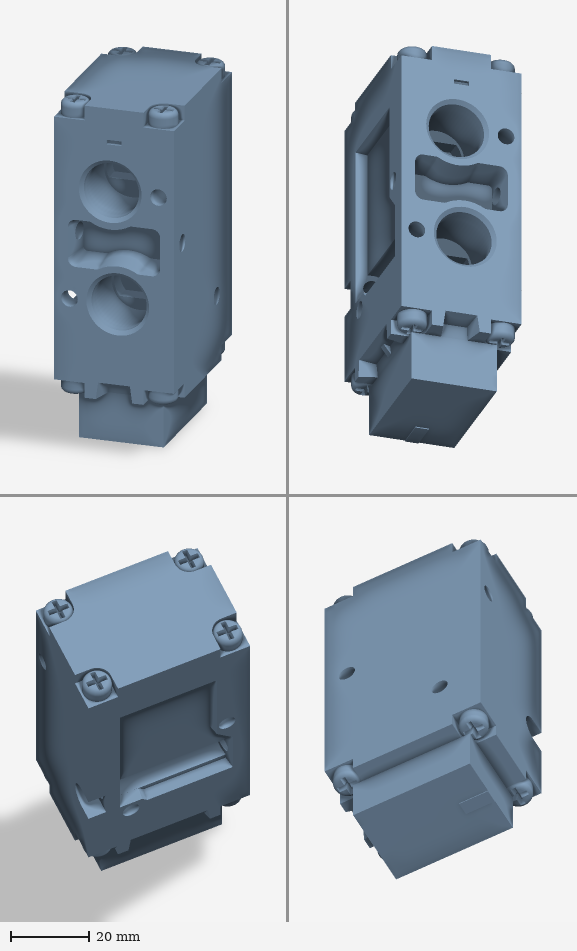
import cadquery as cq
import math

WIDTH = 32.5
LENGTH = 45.5
TOTAL_HEIGHT = 93.4
TOP_CAP_HEIGHT = 9.8
BODY_HEIGHT = 56.3
BOTTOM_CAP_HEIGHT = 13.7

FRONT_Y = -LENGTH / 2
BACK_Y = LENGTH / 2
LEFT_X = -WIDTH / 2
BODY_TOP = TOTAL_HEIGHT - TOP_CAP_HEIGHT
BODY_BOTTOM = BODY_TOP - BODY_HEIGHT
BODY_MIDDLE = (BODY_TOP + BODY_BOTTOM) / 2
CAP_BOTTOM = BODY_BOTTOM - BOTTOM_CAP_HEIGHT

HEAD_RADIUS = 3.8
HEAD_HEIGHT = 4.0
HEAD_ROUNDING = 1.5
HEAD_INSET = 4.4
HEAD_CLEARANCE = 0.1
CROSS_LENGTH = 5.6
CROSS_WIDTH = 1.4
CROSS_DEPTH = 1.9
CROSS_DRAFT = 15
SEAT_RADIUS = HEAD_RADIUS + HEAD_CLEARANCE
SEAT_SIZE = HEAD_INSET + SEAT_RADIUS

PORT_SPACING = 30.5
LOWER_PORT_Z = BODY_MIDDLE - PORT_SPACING / 2
PORT_OFFSET_X = 1.0
PORT_RADIUS = 7.5
PORT_DEPTH = 16.8
PORT_MOUTH_RADIUS = 8.5
PORT_CHAMFER = PORT_MOUTH_RADIUS - PORT_RADIUS
WINDOW_RADIUS = 6.8
WINDOW_DEPTH = 4.7
WINDOW_TOWARD_END = 4.3
WINDOW_TOWARD_MIDDLE = 2.8
MOUNT_HOLE_X = 12.05
MOUNT_HOLE_RADIUS = 2.2
SIDE_HOLE_RADIUS = 2.3
SIDE_HOLES_YZ = [(-16.25, 56.5), (10.7, 32.4)]

WAIST_POCKET_WIDTH = 25.0
WAIST_POCKET_HEIGHT = 12.9
WAIST_POCKET_DEPTH = 9.0
WAIST_POCKET_CORNER = 2.2
WAIST_POCKET_DRAFT = 8
WAIST_RADIUS = 10.4
WAIST_BLEND_RADIUS = 1.3

SIDE_POCKET_DEPTH = 3.0
SIDE_POCKET_DRAFT = 12
SIDE_POCKET_BACK = 13.9
SIDE_POCKET_FRONT = -13.4
SIDE_POCKET_FAR_FRONT = -17.8
SIDE_POCKET_TOP = 79.0
SIDE_POCKET_BOTTOM = 34.3
SHOULDER = 4.5
SHOULDER_Z = 53.1
STEP = 1.5
STEP_Y = 6.2
GROOVE_RADIUS = 3.7
GROOVE_BACK = 13.5
GROOVE_FRONT = -17.65
GROOVE_END_DRAFT = 8
COUNTERBORE_RADIUS = 4.0
COUNTERBORE_DEPTH = 4.95

KEY_NOTCH_WIDTH = 4.1
KEY_NOTCH_HEIGHT = 1.2
KEY_NOTCH_DEPTH = 1.0
BLOCK_WIDTH = 23.0
BLOCK_LENGTH = 34.0
PAD_WIDTH = 3.6
PAD_LENGTH = 8.4
PAD_HEIGHT = 0.3
NOTCH_MOUTH_HEIGHT = 4.6
NOTCH_BACK_HEIGHT = 3.5
NOTCH_FLARE = 0.7
NOTCH_BACK_FLARE = 0.3
NOTCH_BACK_LEAN = 0.5
FRONT_NOTCH_MOUTH = 8.6
FRONT_NOTCH_BACK = 6.5
SIDE_NOTCH_MOUTH = 21.7
SIDE_NOTCH_BACK = 19.6
RIB_WIDTH = 2.15
RIB_REACH = 2.3
RIB_TOP = 4.0
RIB_BOTTOM = 0.9


def box(x_range, y_range, z_range):
    """Box between two limits along each axis."""
    (x0, x1), (y0, y1), (z0, z1) = x_range, y_range, z_range
    return cq.Workplane().box(x1 - x0, y1 - y0, z1 - z0, centered=False).translate((x0, y0, z0))


def plate(width, length, bottom, top):
    """Block centred on the Z axis."""
    return box((-width / 2, width / 2), (-length / 2, length / 2), (bottom, top))


def rod_along_y(x, z, radius, y_start, y_end):
    rod = cq.Solid.makeCylinder(radius, y_end - y_start, cq.Vector(x, y_start, z), cq.Vector(0, 1, 0))
    return cq.Workplane(rod)


def open_channel(radius, y_start, y_end):
    """Round-bottomed channel along the lower mounting hole, open to the left side."""
    x = -MOUNT_HOLE_X
    z = LOWER_PORT_Z
    straight = box((LEFT_X, x), (y_start, y_end), (z - radius, z + radius))
    return straight.union(rod_along_y(x, z, radius, y_start, y_end))


def half_turn(shape):
    """The same shape turned half a turn in the XZ plane about the middle of the body."""
    return shape.rotate((0, 0, BODY_MIDDLE), (0, 1, BODY_MIDDLE), 180)


def lower_port():
    bottom_y = FRONT_Y + PORT_DEPTH
    bore = rod_along_y(PORT_OFFSET_X, LOWER_PORT_Z, PORT_RADIUS, FRONT_Y, bottom_y)
    mouth = cq.Workplane(cq.Solid.makeCone(
        PORT_MOUTH_RADIUS, PORT_RADIUS, PORT_CHAMFER,
        cq.Vector(PORT_OFFSET_X, FRONT_Y, LOWER_PORT_Z), cq.Vector(0, 1, 0)))
    window_end = bottom_y + WINDOW_DEPTH
    window = rod_along_y(PORT_OFFSET_X, LOWER_PORT_Z, WINDOW_RADIUS, bottom_y, window_end)
    window_limits = box(
        (-WIDTH / 2, WIDTH / 2),
        (bottom_y, window_end),
        (LOWER_PORT_Z - WINDOW_TOWARD_END, LOWER_PORT_Z + WINDOW_TOWARD_MIDDLE))
    return bore.union(mouth).union(window.intersect(window_limits))


def waisted_pocket():
    """Drafted pocket, pinched by a wall that runs concentric with each port."""
    outline = (
        cq.Sketch()
        .rect(WAIST_POCKET_WIDTH, WAIST_POCKET_HEIGHT)
        .vertices()
        .fillet(WAIST_POCKET_CORNER)
    )
    pocket = (
        cq.Workplane("XZ", origin=(0, FRONT_Y, BODY_MIDDLE))
        .placeSketch(outline)
        .extrude(-WAIST_POCKET_DEPTH, taper=WAIST_POCKET_DRAFT)
    )
    growth = WAIST_POCKET_DEPTH * math.tan(math.radians(WAIST_POCKET_DRAFT))
    wall = cq.Workplane(cq.Solid.makeCone(
        WAIST_RADIUS, WAIST_RADIUS + growth, WAIST_POCKET_DEPTH,
        cq.Vector(PORT_OFFSET_X, FRONT_Y, LOWER_PORT_Z), cq.Vector(0, 1, 0)))
    pinched = pocket.cut(wall).cut(half_turn(wall))
    return pinched.edges("(not %LINE) and (not %CIRCLE)").fillet(WAIST_BLEND_RADIUS)


def side_pocket():
    outline = [
        (SIDE_POCKET_BACK, SIDE_POCKET_TOP),
        (SIDE_POCKET_FRONT, SIDE_POCKET_TOP),
        (SIDE_POCKET_FRONT, SHOULDER_Z),
        (SIDE_POCKET_FAR_FRONT, SHOULDER_Z - SHOULDER),
        (SIDE_POCKET_FAR_FRONT, SIDE_POCKET_BOTTOM),
        (STEP_Y, SIDE_POCKET_BOTTOM),
        (STEP_Y + STEP, SIDE_POCKET_BOTTOM + STEP),
        (SIDE_POCKET_BACK, SIDE_POCKET_BOTTOM + STEP),
    ]
    return (
        cq.Workplane("YZ", origin=(LEFT_X, 0, 0))
        .polyline(outline)
        .close()
        .extrude(SIDE_POCKET_DEPTH, taper=SIDE_POCKET_DRAFT)
    )


def groove():
    """Channel in the floor of the side pocket, with drafted ends."""
    depth = GROOVE_RADIUS - MOUNT_HOLE_X - LEFT_X
    lean = depth * math.tan(math.radians(GROOVE_END_DRAFT))
    length_limits = (
        cq.Workplane("XY", origin=(0, 0, LOWER_PORT_Z - GROOVE_RADIUS))
        .moveTo(LEFT_X, GROOVE_FRONT)
        .lineTo(LEFT_X + depth, GROOVE_FRONT + lean)
        .lineTo(LEFT_X + depth, GROOVE_BACK - lean)
        .lineTo(LEFT_X, GROOVE_BACK)
        .close()
        .extrude(2 * GROOVE_RADIUS)
    )
    return open_channel(GROOVE_RADIUS, GROOVE_FRONT, GROOVE_BACK).intersect(length_limits)


def make_body():
    body = plate(WIDTH, LENGTH, BODY_BOTTOM, BODY_TOP)
    mount_hole = rod_along_y(-MOUNT_HOLE_X, LOWER_PORT_Z, MOUNT_HOLE_RADIUS, FRONT_Y, BACK_Y)
    for feature in (lower_port(), mount_hole):
        body = body.cut(feature).cut(half_turn(feature))
    side_holes = (
        cq.Workplane("YZ", origin=(LEFT_X, 0, 0))
        .pushPoints(SIDE_HOLES_YZ)
        .circle(SIDE_HOLE_RADIUS)
        .extrude(WIDTH)
    )
    counterbore = open_channel(COUNTERBORE_RADIUS, BACK_Y - COUNTERBORE_DEPTH, BACK_Y)
    for feature in (waisted_pocket(), side_pocket(), side_holes, groove(), counterbore):
        body = body.cut(feature)
    return body


def screw_head():
    """Round-topped head standing on Z = 0, with a cross recess."""
    head = (
        cq.Workplane()
        .circle(HEAD_RADIUS)
        .extrude(HEAD_HEIGHT)
        .faces(">Z")
        .edges()
        .fillet(HEAD_ROUNDING)
    )
    slot = (
        cq.Workplane(origin=(0, 0, HEAD_HEIGHT))
        .rect(CROSS_LENGTH, CROSS_WIDTH)
        .extrude(-CROSS_DEPTH, taper=CROSS_DRAFT)
    )
    return head.cut(slot).cut(slot.rotate((0, 0, 0), (0, 0, 1), 90))


def corner_seat():
    """Room for one head at the corner with negative X and Y, with its floor at Z = 0."""
    return (
        cq.Workplane()
        .box(SEAT_SIZE, SEAT_SIZE, HEAD_HEIGHT, centered=False)
        .edges("|Z and >X and >Y")
        .fillet(SEAT_RADIUS)
        .translate((LEFT_X, FRONT_Y, 0))
    )


def at_corners(shape, seat_z, faces_up):
    """Mirrored copies, one for each corner, of a shape at the corner with negative X and Y."""
    if not faces_up:
        shape = shape.mirror("XY")
    shape = shape.translate((0, 0, seat_z))
    front_pair = [shape, shape.mirror("YZ")]
    return front_pair + [front.mirror("XZ") for front in front_pair]


def add_screwed_corners(cap, seat_z, faces_up):
    """Cut a seat into each corner of a cap and stand a screw head in it."""
    head = screw_head().translate((LEFT_X + HEAD_INSET, FRONT_Y + HEAD_INSET, 0))
    for seat in at_corners(corner_seat(), seat_z, faces_up):
        cap = cap.cut(seat)
    for corner_head in at_corners(head, seat_z, faces_up):
        cap = cap.union(corner_head)
    return cap


def make_top_cap():
    cap = plate(WIDTH, LENGTH, BODY_TOP, TOTAL_HEIGHT)
    key_notch = box(
        (-KEY_NOTCH_WIDTH / 2, KEY_NOTCH_WIDTH / 2),
        (FRONT_Y, FRONT_Y + KEY_NOTCH_DEPTH),
        (BODY_TOP, BODY_TOP + KEY_NOTCH_HEIGHT))
    cap = cap.cut(key_notch)
    return add_screwed_corners(cap, TOTAL_HEIGHT - HEAD_HEIGHT, faces_up=True)


def trapezoid(width, flare, height, top_y, bottom_y):
    """Wire in XZ, wider at its lower edge, whose top and bottom may lie at different Y."""
    top_half = width / 2
    bottom_half = top_half + flare
    corners = [
        cq.Vector(-bottom_half, bottom_y, CAP_BOTTOM),
        cq.Vector(bottom_half, bottom_y, CAP_BOTTOM),
        cq.Vector(top_half, top_y, CAP_BOTTOM + height),
        cq.Vector(-top_half, top_y, CAP_BOTTOM + height),
    ]
    return cq.Wire.makePolygon(corners, close=True)


def flared_notch(mouth_width, back_width, mouth_y, back_y):
    """Notch in the lower edge of a wall, narrowing inwards on to the connector's face."""
    mouth = trapezoid(mouth_width, NOTCH_FLARE, NOTCH_MOUTH_HEIGHT, mouth_y, mouth_y)
    back = trapezoid(back_width, NOTCH_BACK_FLARE, NOTCH_BACK_HEIGHT, back_y - NOTCH_BACK_LEAN, back_y)
    return cq.Workplane(cq.Solid.makeLoft([mouth, back], True))


def notch_rib():
    """Wedge in the middle of the left notch, with its sloping face downwards."""
    back_x = -BLOCK_WIDTH / 2
    return (
        cq.Workplane("XZ", origin=(0, RIB_WIDTH / 2, CAP_BOTTOM))
        .moveTo(back_x - RIB_REACH, RIB_TOP)
        .lineTo(back_x, RIB_BOTTOM)
        .lineTo(back_x, NOTCH_MOUTH_HEIGHT)
        .lineTo(back_x - RIB_REACH, NOTCH_MOUTH_HEIGHT)
        .close()
        .extrude(RIB_WIDTH)
    )


def make_bottom_cap():
    cap = plate(WIDTH, LENGTH, CAP_BOTTOM, BODY_BOTTOM)
    front_notch = flared_notch(FRONT_NOTCH_MOUTH, FRONT_NOTCH_BACK, FRONT_Y, -BLOCK_LENGTH / 2)
    left_notch = flared_notch(SIDE_NOTCH_MOUTH, SIDE_NOTCH_BACK, LEFT_X, -BLOCK_WIDTH / 2)
    left_notch = left_notch.rotate((0, 0, 0), (0, 0, 1), -90)
    cap = cap.cut(front_notch).cut(left_notch).union(notch_rib())
    return add_screwed_corners(cap, CAP_BOTTOM + HEAD_HEIGHT, faces_up=False)


def make_connector():
    block = plate(BLOCK_WIDTH, BLOCK_LENGTH, PAD_HEIGHT, CAP_BOTTOM)
    pad = box(
        (-PAD_WIDTH / 2, PAD_WIDTH / 2),
        (BLOCK_LENGTH / 2 - PAD_LENGTH, BLOCK_LENGTH / 2),
        (0, PAD_HEIGHT))
    return block.union(pad)


body = make_body()
top_cap = make_top_cap()
bottom_cap = make_bottom_cap()
connector = make_connector()

result = cq.Compound.makeCompound([
    body.solids().val(),
    top_cap.solids().val(),
    bottom_cap.solids().val(),
    connector.solids().val(),
])